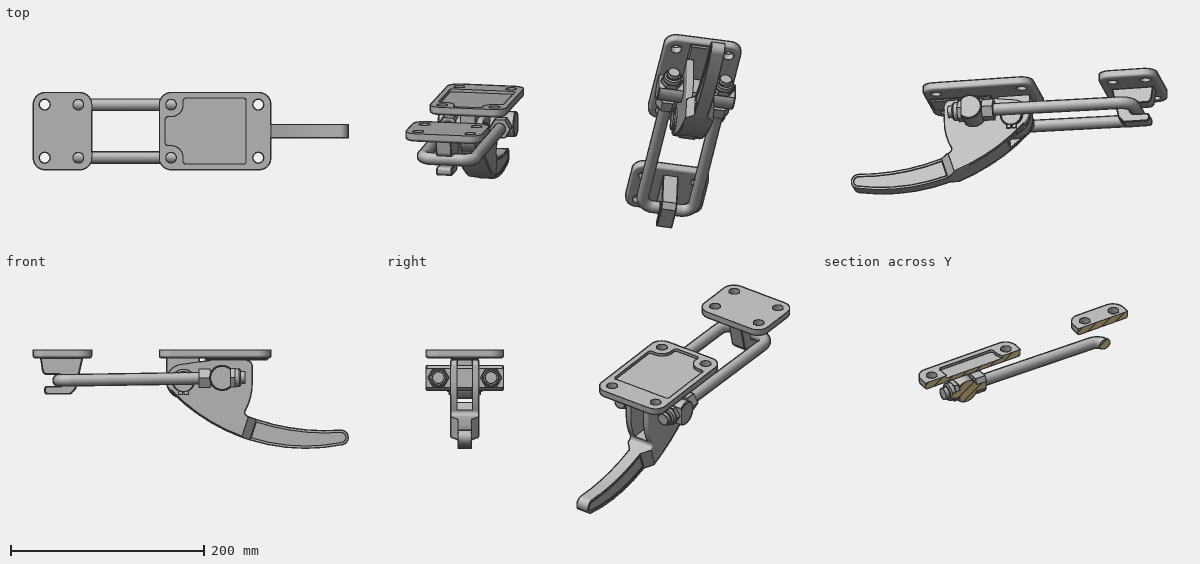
import cadquery as cq
import math


plate_width = 80.25
plate_thickness = 8.3
plate_corner_radius = 12.5
plate_edge_round = 2.6
hole_diameter = 11.0
hole_spacing_y = 55.0
strike_length = 60.7
strike_hole_x = (12.0, 46.8)
base_start_x = 130.6
base_length = 115.6
base_hole_x = (142.8, 233.1)

pocket_start_x = 136.7
pocket_end_x = 220.5
pocket_width = 68.4
pocket_depth = 3.0
pocket_corner_radius = 3.0
pocket_boss_radius = 12.5

bracket_half_width = 7.7
bracket_end_x = 172.0
bracket_boss_radius = 17.4
pad_start_x = 178.0
pad_end_x = 243.0
pad_half_width = 14.0
pad_bottom_z = -10.7
pad_edge_chamfer = 1.5

pivot_x = 155.6
pivot_z = -32.9
pin_radius = 10.4
pin_half_length = 17.8
clip_outer_radius = 11.7
clip_offset_z = 1.1
clip_thickness = 1.8
clip_lug_size = 4.2
clip_lug_spacing = 5.8

lever_half_width = 14.5
lever_end_radius = 18.0
lever_end_top_angle = 95
lever_end_middle_angle = 140
lever_end_bottom_angle = 190
lever_edge_round = 1.1
belly_radius = 193.0
belly_center_x = 282.0
belly_start_x = 142.3
overall_height = 102.03
belly_center_z = belly_radius - overall_height
channel_half_width = 8.0
floor_thickness = 4.0
floor_top_z = -54.4
channel_bottom_z = -62.0
top_ramp_end = (184.0, -10.7)
top_corner = (227.0, -10.7)
top_corner_radius = 6.5
back_top = (top_corner[0], -34.0)
neck_corner = (217.3, -66.9)
neck_radius = 4.2

handle_half_width = 6.9
handle_top_angle = 94.0
overall_length = 326.36
tip_radius = 7.7
tip_center_x = overall_length - tip_radius
shoulder_x = 219.3
shoulder_z = -80.2
shoulder_angle = 18.0
shoulder_length = 8.7
panel_rim = 2.5
panel_start = 9.5
panel_depth = 1.2

rod_radius = 6.1
rod_spacing_y = 54.6
rod_bend_radius = 13.0
bar_x = 26.6
bar_z = -31.6
rod_end_x = 219.5

trunnion_x = 195.7
trunnion_z = -29.0
trunnion_radius = 13.0
trunnion_length = 80.25
trunnion_edge_chamfer = 1.0
trunnion_flat_x = 204.1
nut_across_flats = 19.0
jam_nut_start_x = 171.8
jam_nut_length = 11.7
lock_nut_hex_length = 5.0
lock_nut_collar_length = 5.8
lock_nut_collar_radius = 9.2
lock_nut_collar_chamfer = 1.5

hook_half_width = 8.0
hook_edge_chamfer = 0.8
hook_slot_radius = rod_radius
hook_root_left = (7.6, -plate_thickness)
hook_root_right = (51.4, -plate_thickness)
hook_jaw_corner = (10.2, bar_z + hook_slot_radius)
hook_jaw_round = 5.0
hook_lip_upper = (11.8, bar_z - hook_slot_radius)
hook_lip_lower = (11.8, -45.8)
hook_lip_round = 3.2
hook_heel = (38.8, -45.8)
hook_back = (44.2, -40.2)


def front_plane_solid(sketch, half_width):
    """Extrude an XZ outline symmetrically about the XZ plane."""
    return sketch.extrude(half_width, both=True)


def block(x0, x1, half_width, z0, z1):
    """Rectangular block centred on the XZ plane."""
    return cq.Workplane("XY").box(x1 - x0, 2 * half_width, z1 - z0).translate(((x0 + x1) / 2, 0, (z0 + z1) / 2))


def mirrored(half):
    """Join a body with its mirror image across the XZ plane."""
    return half.union(half.mirror("XZ"))


def round_corner(body, corner, radius):
    """Fillet the edge along Y that passes through an XZ corner point."""
    nearest = cq.selectors.NearestToPointSelector((corner[0], 0, corner[1]))
    return body.edges("|Y").edges(nearest).fillet(radius)


def mounting_plate(start_x, length, hole_xs):
    plate = block(start_x, start_x + length, plate_width / 2, -plate_thickness, 0)
    plate = plate.edges("|Z").fillet(plate_corner_radius).faces("<Z").edges().fillet(plate_edge_round)
    points = [(x, side * hole_spacing_y / 2) for x in hole_xs for side in (-1, 1)]
    holes = cq.Workplane("XY").pushPoints(points).circle(hole_diameter / 2).extrude(-plate_thickness)
    return plate.cut(holes)


def relief_pocket():
    """Pocket that leaves full-thickness bosses around the two holes at its start."""
    pocket = block(pocket_start_x, pocket_end_x, pocket_width / 2, -pocket_depth, 0)
    boss_x = base_hole_x[0]
    for side in (-1, 1):
        corner_y = side * plate_width / 2
        boss_y = side * hole_spacing_y / 2
        boss = cq.Workplane("XY").center(boss_x, boss_y).circle(pocket_boss_radius).extrude(-pocket_depth)
        boss_top = cq.Workplane("XY").rect(2 * pocket_boss_radius, abs(corner_y - boss_y)).extrude(-pocket_depth)
        boss = boss.union(boss_top.translate((boss_x, (corner_y + boss_y) / 2, 0)))
        boss_side = cq.Workplane("XY").rect(2 * pocket_boss_radius, 2 * pocket_boss_radius).extrude(-pocket_depth)
        boss = boss.union(boss_side.translate((boss_x - pocket_boss_radius, boss_y, 0)))
        pocket = pocket.cut(boss)
    return pocket.edges("|Z").fillet(pocket_corner_radius)


def lever_bracket():
    start_x = pivot_x - bracket_boss_radius
    bracket = block(start_x, bracket_end_x, bracket_half_width, pivot_z, -plate_thickness)
    boss = cq.Workplane("XZ").center(pivot_x, pivot_z).circle(bracket_boss_radius)
    pad = block(pad_start_x, pad_end_x, pad_half_width, pad_bottom_z, -plate_thickness)
    pad = pad.faces("<Z").edges().chamfer(pad_edge_chamfer)
    return bracket.union(front_plane_solid(boss, bracket_half_width)).union(pad)


def base():
    plate = mounting_plate(base_start_x, base_length, base_hole_x)
    return plate.cut(relief_pocket()).union(lever_bracket())


def pivot_pin():
    """Pin through the lever, held by a retaining clip with two lugs on each side."""
    pin = front_plane_solid(cq.Workplane("XZ").center(pivot_x, pivot_z).circle(pin_radius), pin_half_length)
    clip_plane = cq.Workplane("XZ", origin=(pivot_x, -lever_half_width, pivot_z))
    clip = clip_plane.center(0, clip_offset_z).circle(clip_outer_radius).extrude(clip_thickness)
    lug_z = -pin_radius - clip_lug_size / 4
    lug_points = [(side * clip_lug_spacing / 2, lug_z) for side in (-1, 1)]
    lugs = clip_plane.pushPoints(lug_points).rect(clip_lug_size, clip_lug_size).extrude(clip_thickness)
    return pin.union(mirrored(clip.union(lugs)))


def belly_point(x):
    """Point at x on the lever's convex lower arc."""
    return (x, belly_center_z - math.sqrt(belly_radius**2 - (x - belly_center_x) ** 2))


def polar(center, radius, degrees):
    angle = math.radians(degrees)
    return (center[0] + radius * math.cos(angle), center[1] + radius * math.sin(angle))


def lever_outline():
    """Closed lever outline, drawn counterclockwise from the start of the belly arc, with sharp corners."""
    pivot = (pivot_x, pivot_z)
    tip_offset = belly_radius - tip_radius
    tip = (tip_center_x, belly_center_z - math.sqrt(tip_offset**2 - (tip_center_x - belly_center_x) ** 2))
    belly_end_angle = math.degrees(math.atan2(tip[1] - belly_center_z, tip[0] - belly_center_x))
    back_drop = back_top[1] - neck_corner[1]
    back_run = back_top[0] - neck_corner[0]
    back_radius = (back_drop**2 + back_run**2) / (2 * back_run)
    back_sweep = math.degrees(math.asin(back_drop / back_radius))
    back_middle = polar((back_top[0] - back_radius, back_top[1]), back_radius, -back_sweep / 2)
    end_top = polar(pivot, lever_end_radius, lever_end_top_angle)
    end_middle = polar(pivot, lever_end_radius, lever_end_middle_angle)
    end_bottom = polar(pivot, lever_end_radius, lever_end_bottom_angle)
    return (
        cq.Workplane("XZ")
        .moveTo(*belly_point(belly_start_x))
        .threePointArc(belly_point(trunnion_x), polar(tip, tip_radius, belly_end_angle))
        .threePointArc(polar(tip, tip_radius, 0), polar(tip, tip_radius, handle_top_angle))
        .tangentArcPoint(neck_corner, relative=False)
        .threePointArc(back_middle, back_top)
        .lineTo(*top_corner)
        .lineTo(*top_ramp_end)
        .lineTo(*end_top)
        .threePointArc(end_middle, end_bottom)
        .close()
    )


def handle_side_cut():
    """Region removed on +Y to narrow the lever from the shoulder to the handle."""
    reach = overall_length
    outside = 2 * lever_half_width
    cut = (
        cq.Workplane("XY")
        .polyline(
            [
                (0, lever_half_width),
                (shoulder_length, handle_half_width),
                (reach, handle_half_width),
                (reach, outside),
                (0, outside),
            ]
        )
        .close()
        .extrude(reach, both=True)
    )
    return cut.rotate((0, 0, 0), (0, 1, 0), shoulder_angle).translate((shoulder_x, 0, shoulder_z))


def handle_panel_cut():
    """Recess in the +Y face of the handle, leaving a rim along the lever outline."""
    inner = lever_outline().offset2D(-panel_rim).extrude(-panel_depth)
    inner = inner.translate((0, handle_half_width - panel_depth, 0))
    reach = overall_length
    beyond = cq.Workplane("XY").box(reach, reach, reach).translate((reach / 2 + panel_start, 0, 0))
    beyond = beyond.rotate((0, 0, 0), (0, 1, 0), shoulder_angle).translate((shoulder_x, 0, shoulder_z))
    return inner.intersect(beyond)


def lever_channel():
    """Space between the lever's side walls, open at the top, the back and the pivot end."""
    inner_radius = belly_radius - floor_thickness
    floor_front_x = belly_center_x - math.sqrt(inner_radius**2 - (belly_center_z - floor_top_z) ** 2)
    above_floor = cq.Workplane("XZ").center(belly_center_x, belly_center_z).circle(inner_radius)
    channel = front_plane_solid(above_floor, channel_half_width)
    channel = channel.intersect(block(base_start_x, overall_length, channel_half_width, channel_bottom_z, 0))
    return channel.union(block(base_start_x, floor_front_x, channel_half_width, -overall_height, 0))


def lever():
    body = front_plane_solid(lever_outline(), lever_half_width)
    body = round_corner(body, top_corner, top_corner_radius)
    body = round_corner(body, neck_corner, neck_radius)
    body = body.faces("<Y or >Y").edges().fillet(lever_edge_round)
    body = body.cut(mirrored(handle_side_cut())).cut(mirrored(handle_panel_cut()))
    return body.cut(lever_channel())


def strike():
    """Strike plate with a hook whose slot seats the cross bar of the draw rod."""
    hook = (
        cq.Workplane("XZ")
        .moveTo(*hook_root_left)
        .lineTo(*hook_jaw_corner)
        .lineTo(bar_x, hook_jaw_corner[1])
        .threePointArc((bar_x + hook_slot_radius, bar_z), (bar_x, hook_lip_upper[1]))
        .lineTo(*hook_lip_upper)
        .lineTo(*hook_lip_lower)
        .lineTo(*hook_heel)
        .lineTo(*hook_back)
        .lineTo(*hook_root_right)
        .close()
    )
    hook = front_plane_solid(hook, hook_half_width)
    hook = round_corner(hook, hook_jaw_corner, hook_jaw_round)
    hook = round_corner(hook, hook_lip_upper, hook_lip_round)
    hook = round_corner(hook, hook_lip_lower, hook_lip_round)
    hook = hook.faces("<Y or >Y").chamfer(hook_edge_chamfer)
    return mounting_plate(0, strike_length, strike_hole_x).union(hook)


def draw_rod():
    """U-shaped rod and its nuts, built level with the cross bar on the Y axis, then tilted to meet the trunnion."""
    half = rod_spacing_y / 2
    end = rod_end_x - bar_x
    bend_mid = rod_bend_radius * (1 - math.sqrt(0.5))
    path = (
        cq.Workplane("XY")
        .moveTo(end, -half)
        .lineTo(rod_bend_radius, -half)
        .threePointArc((bend_mid, bend_mid - half), (0, rod_bend_radius - half))
        .lineTo(0, half - rod_bend_radius)
        .threePointArc((bend_mid, half - bend_mid), (rod_bend_radius, half))
        .lineTo(end, half)
    )
    rod = cq.Workplane("YZ", origin=(end, -half, 0)).circle(rod_radius).sweep(path)
    rod = rod.union(mirrored(leg_nuts()))
    tilt = math.degrees(math.atan2(trunnion_z - bar_z, trunnion_x - bar_x))
    return rod.rotate((0, 0, 0), (0, 1, 0), -tilt).translate((bar_x, 0, bar_z))


def leg_nuts():
    """Jam nut and collared lock nut on the +Y leg, measured from the cross bar."""
    leg_y = rod_spacing_y / 2
    corner_diameter = nut_across_flats / math.cos(math.radians(30))
    lock_start = trunnion_flat_x - bar_x
    jam = cq.Workplane("YZ", origin=(jam_nut_start_x - bar_x, leg_y, 0))
    jam = jam.polygon(6, corner_diameter).extrude(jam_nut_length)
    lock = cq.Workplane("YZ", origin=(lock_start, leg_y, 0)).polygon(6, corner_diameter).extrude(lock_nut_hex_length)
    collar = cq.Workplane("YZ", origin=(lock_start + lock_nut_hex_length, leg_y, 0))
    collar = collar.circle(lock_nut_collar_radius).extrude(lock_nut_collar_length)
    collar = collar.faces(">X").edges().chamfer(lock_nut_collar_chamfer)
    return jam.union(lock).union(collar)


def trunnion():
    """Cross cylinder carrying the rod legs, with a flat where the lock nuts seat."""
    cylinder = cq.Workplane("XZ").center(trunnion_x, trunnion_z).circle(trunnion_radius)
    cylinder = front_plane_solid(cylinder, trunnion_length / 2).faces("<Y or >Y").chamfer(trunnion_edge_chamfer)
    flat = block(trunnion_flat_x, trunnion_x + trunnion_radius, trunnion_length, -overall_height, 0)
    return cylinder.cut(flat)


result = base()
for component in (lever(), pivot_pin(), trunnion(), draw_rod(), strike()):
    result = result.union(component)